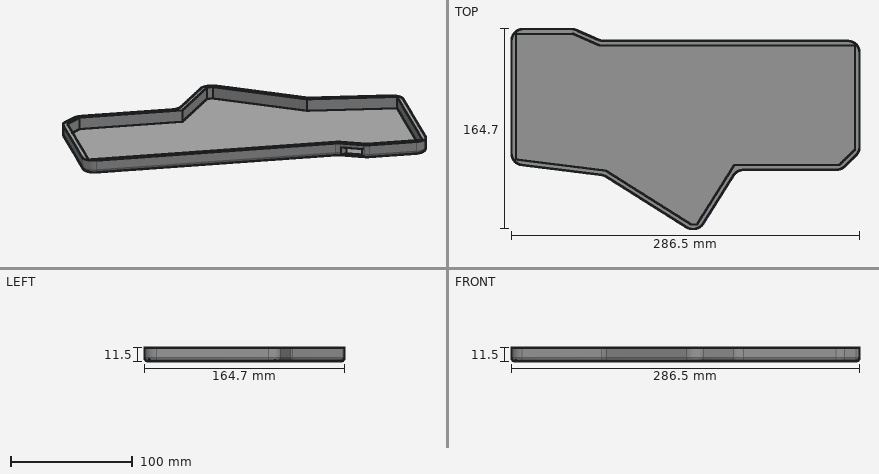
import cadquery as cq
import math

height = 11.5
wall = 4.0
floor = 1.5
corner_radius = 10.0
bottom_radius = 3.5

left = wall
right = 286.5 - wall
upper_left = 164.7 - wall
upper_right = 151.0
lower_right = 52.7
tip_flat = wall

slope_start = (50.7, upper_left)
slope_end = (72.7, upper_right)

port_step = 0.3
port_offset = -0.3
port_length = 17.5
port_height = 6.3
port_sill = floor + port_step

cavity_outline = [
    (left, upper_left),
    slope_start,
    slope_end,
    (right, upper_right),
    (right, 65.3),
    (269.5, lower_right),
    (183.3, lower_right),
    (151.2, 1.7),
    (77.5, 48.0),
    (left, 57.3),
]


def make_body():
    """Solid block with rounded corners and a rounded bottom rim."""
    block = cq.Workplane("XY").polyline(cavity_outline).close().offset2D(wall, "intersection").extrude(height)
    return block.edges("|Z").fillet(corner_radius).faces("<Z").edges().fillet(bottom_radius)


def make_cavity():
    """Sharp-cornered pocket whose lowest tip is cut off flat."""
    pocket = cq.Workplane("XY").workplane(offset=floor).polyline(cavity_outline).close().extrude(height)
    tip = cq.Workplane("XY").box(right, tip_flat, 3 * height, centered=(False, False, True))
    return pocket.cut(tip)


def make_port():
    """Skewed rectangular channel through the sloping wall, angled toward +X."""
    run = slope_end[0] - slope_start[0]
    rise = slope_end[1] - slope_start[1]
    slope_length = math.hypot(run, rise)
    along = cq.Vector(run, rise) / slope_length
    through = cq.Vector(run, -rise) / slope_length
    near_end = cq.Vector(*slope_start) + along * port_offset
    far_end = near_end + along * port_length
    inner_reach = through * -wall
    outer_reach = through * (4 * wall)
    corners = [
        near_end + inner_reach,
        far_end + inner_reach,
        far_end + outer_reach,
        near_end + outer_reach,
    ]
    footprint = [corner.toTuple()[:2] for corner in corners]
    return cq.Workplane("XY").workplane(offset=port_sill).polyline(footprint).close().extrude(port_height)


result = make_body().cut(make_cavity()).cut(make_port())